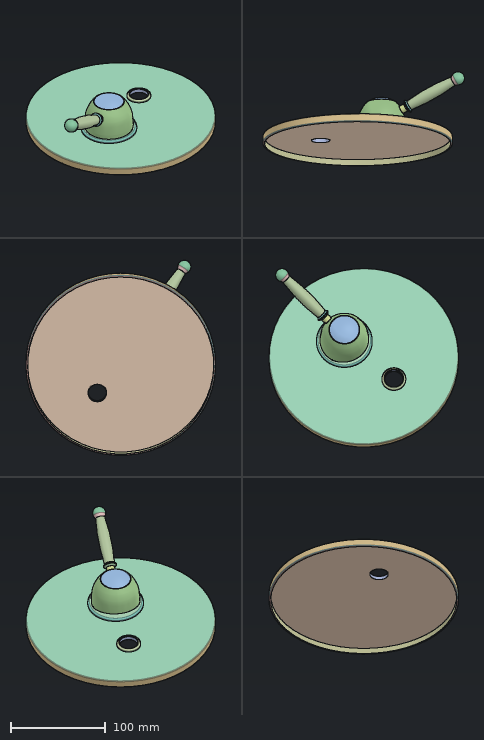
import cadquery as cq
import math

PLATE_RADIUS = 100.0
PLATE_THICKNESS = 8.5
PLATE_EDGE_FILLET = 0.8
PLATE_WALL = 2.0

RING_HEIGHT = 2.8
RING_TOP = PLATE_THICKNESS + RING_HEIGHT
DOME_RING_RADIUS = 29.4
HOLE_RING_RADIUS = 12.6
RING_OUTER_FILLET = 1.8

HOLE_Y = 41.0
HOLE_RADIUS = 9.6
HOLE_RIM_CHAMFER = 0.5

DOME_Y = -26.5
DOME_RADIUS = 25.6
DOME_LOWER_WALL = (24.9, 25.0)
DOME_UPPER_WALL = (22.5, 32.5)
DOME_RIM_RADIUS = 16.2
DOME_RIM_Z = 42.3
DOME_RIM_LEAN = 42.0
CAP_RADIUS = 15.7
CAP_RISE = 5.4

CLEARANCE_ANGLE = 12.0
CLEARANCE_START_Y = DOME_Y + 4.0

LEVER_ANGLE = 25.0
BALL_RADIUS = 7.1
BALL_TIP_Y = -118.38
OVERALL_HEIGHT = 69.34
BALL_Y = BALL_TIP_Y + BALL_RADIUS
BALL_Z = OVERALL_HEIGHT - BALL_RADIUS

LEVER_ROOT = 76.0
NECK_RADIUS = 4.5
COLLAR_BACK = 63.7
COLLAR_RIM_BACK = 61.9
COLLAR_RIM_FRONT = 60.9
COLLAR_RADIUS = 7.0
GRIP_BACK = 59.3
GRIP_BACK_RADIUS = 5.4
GRIP_MIDDLE = 31.0
GRIP_MIDDLE_RADIUS = 6.9
GRIP_FRONT = 5.9
GRIP_FRONT_RADIUS = 5.1
BALL_JOINT = 2.4


def disc(radius, bottom, height, y):
    """Upright cylinder whose axis passes through (0, y)."""
    return cq.Workplane("XY", origin=(0, y, bottom)).circle(radius).extrude(height)


def make_plate():
    plate = disc(PLATE_RADIUS, 0, PLATE_THICKNESS, 0)
    cavity = disc(PLATE_RADIUS - PLATE_WALL, 0, PLATE_THICKNESS - PLATE_WALL, 0)
    return plate.edges().fillet(PLATE_EDGE_FILLET).cut(cavity)


def make_ring(radius, y):
    """Low boss with a rounded top edge."""
    ring = disc(radius, PLATE_THICKNESS, RING_HEIGHT, y)
    return ring.faces(">Z").edges().fillet(RING_OUTER_FILLET)


def make_dome():
    cap_sphere_radius = (CAP_RADIUS**2 + CAP_RISE**2) / (2 * CAP_RISE)
    cap_half_sweep = math.asin(CAP_RADIUS / cap_sphere_radius) / 2
    cap_top = DOME_RIM_Z + CAP_RISE
    cap_middle = (
        cap_sphere_radius * math.sin(cap_half_sweep),
        cap_top - cap_sphere_radius * (1 - math.cos(cap_half_sweep)),
    )

    wall_points = [DOME_LOWER_WALL, DOME_UPPER_WALL, (DOME_RIM_RADIUS, DOME_RIM_Z)]
    rim_lean = math.radians(DOME_RIM_LEAN)
    rim_direction = (-math.sin(rim_lean), math.cos(rim_lean))

    profile = (
        cq.Workplane("XZ", origin=(0, DOME_Y, 0))
        .moveTo(0, PLATE_THICKNESS)
        .lineTo(DOME_RADIUS, PLATE_THICKNESS)
        .spline(wall_points, tangents=[(0, 1), rim_direction], includeCurrent=True)
        .lineTo(CAP_RADIUS, DOME_RIM_Z)
        .threePointArc(cap_middle, (0, cap_top))
        .close()
    )
    dome = profile.revolve(360, (0, 0, 0), (0, 1, 0))
    return dome.cut(make_clearance())


def make_clearance():
    """Wedge that opens toward +Y between the ring top and the dome underside."""
    length = 2 * DOME_RADIUS
    height = length * math.tan(math.radians(CLEARANCE_ANGLE))
    return (
        cq.Workplane("YZ")
        .moveTo(CLEARANCE_START_Y, RING_TOP)
        .lineTo(CLEARANCE_START_Y + length, RING_TOP)
        .lineTo(CLEARANCE_START_Y + length, RING_TOP + height)
        .close()
        .extrude(DOME_RADIUS, both=True)
    )


def make_lever():
    angle = math.radians(LEVER_ANGLE)
    axis = cq.Vector(0, -math.cos(angle), math.sin(angle))
    lever_plane = cq.Plane(origin=(0, BALL_Y, BALL_Z), xDir=axis, normal=(1, 0, 0))
    joint_radius = math.sqrt(BALL_RADIUS**2 - BALL_JOINT**2)
    profile = (
        cq.Workplane(lever_plane)
        .moveTo(-LEVER_ROOT, 0)
        .lineTo(-LEVER_ROOT, NECK_RADIUS)
        .lineTo(-COLLAR_BACK, NECK_RADIUS)
        .lineTo(-COLLAR_RIM_BACK, COLLAR_RADIUS)
        .lineTo(-COLLAR_RIM_FRONT, COLLAR_RADIUS)
        .lineTo(-GRIP_BACK, GRIP_BACK_RADIUS)
        .threePointArc((-GRIP_MIDDLE, GRIP_MIDDLE_RADIUS), (-GRIP_FRONT, GRIP_FRONT_RADIUS))
        .lineTo(-BALL_JOINT, joint_radius)
        .threePointArc((0, BALL_RADIUS), (BALL_RADIUS, 0))
        .close()
    )
    return profile.revolve(360, (0, 0, 0), (1, 0, 0))


def make_hole():
    """Through hole with a chamfered mouth at the ring top."""
    bore = disc(HOLE_RADIUS, 0, RING_TOP, HOLE_Y)
    mouth = cq.Solid.makeCone(
        HOLE_RADIUS,
        HOLE_RADIUS + HOLE_RIM_CHAMFER,
        HOLE_RIM_CHAMFER,
        pnt=cq.Vector(0, HOLE_Y, RING_TOP - HOLE_RIM_CHAMFER),
    )
    return bore.union(cq.Workplane(mouth))


result = (
    make_plate()
    .union(make_ring(DOME_RING_RADIUS, DOME_Y))
    .union(make_ring(HOLE_RING_RADIUS, HOLE_Y))
    .union(make_dome())
    .union(make_lever())
    .cut(make_hole())
)